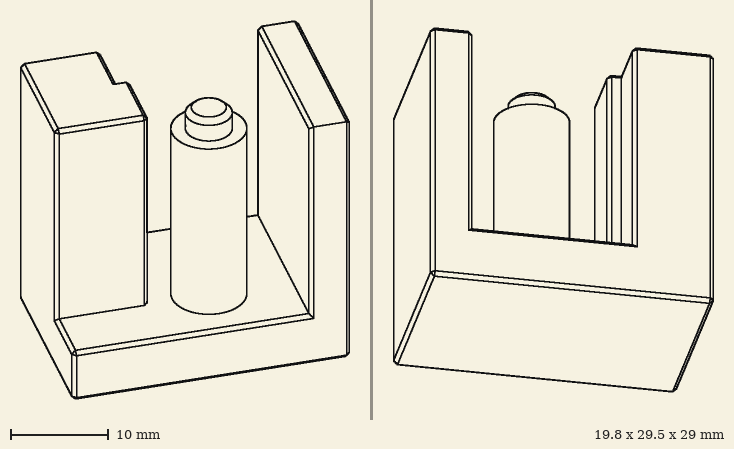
import cadquery as cq

width = 19.8
depth = 29.5
height = 29.0
edge_chamfer = 0.4

floor_height = 5.95
wall_thickness = 4.3
post_width = 13.33
post_depth = 9.85
step_width = 6.17
step_depth = 8.47

pin_x = 12.98
pin_y = 16.4
pin_diameter = 7.8
tip_diameter = 4.8
pin_shoulder_height = 26.2
pin_top_height = 28.73
tip_chamfer = 0.62

tolerance = 0.003


def near(value, target):
    return abs(value - target) < tolerance


def make_body():
    """Base plate with a full-width back wall and a stepped front post."""
    base = cq.Workplane("XY").box(width, depth, floor_height, centered=False)
    wall = (
        cq.Workplane("XY")
        .box(width, wall_thickness, height, centered=False)
        .translate((0, depth - wall_thickness, 0))
    )
    post = (
        cq.Workplane("XY")
        .polyline([
            (0, 0),
            (post_width, 0),
            (post_width, post_depth),
            (step_width, post_depth),
            (step_width, step_depth),
            (0, step_depth),
        ])
        .close()
        .extrude(height)
    )
    return base.union(wall).union(post).clean()


def is_chamfered(edge):
    """Reject the inside corners and the sharp +X top edge of the back wall."""
    center = edge.Center()
    on_side = near(center.x, 0) or near(center.x, width) or near(center.y, 0)
    floor_corner = near(center.z, floor_height) and not on_side
    step_corner = near(center.x, step_width) and near(center.y, step_depth)
    sharp_wall_edge = near(center.x, width) and near(center.z, height)
    return not (floor_corner or step_corner or sharp_wall_edge)


def make_pin():
    """Shouldered pin with a chamfered tip."""
    shank = (
        cq.Workplane("XY", origin=(pin_x, pin_y, floor_height))
        .circle(pin_diameter / 2)
        .extrude(pin_shoulder_height - floor_height)
    )
    tip = (
        cq.Workplane("XY", origin=(pin_x, pin_y, pin_shoulder_height))
        .circle(tip_diameter / 2)
        .extrude(pin_top_height - pin_shoulder_height)
        .faces(">Z")
        .chamfer(tip_chamfer)
    )
    return shank.union(tip)


body = make_body()
chamfered_body = body.edges().filter(is_chamfered).chamfer(edge_chamfer)

result = chamfered_body.union(make_pin())